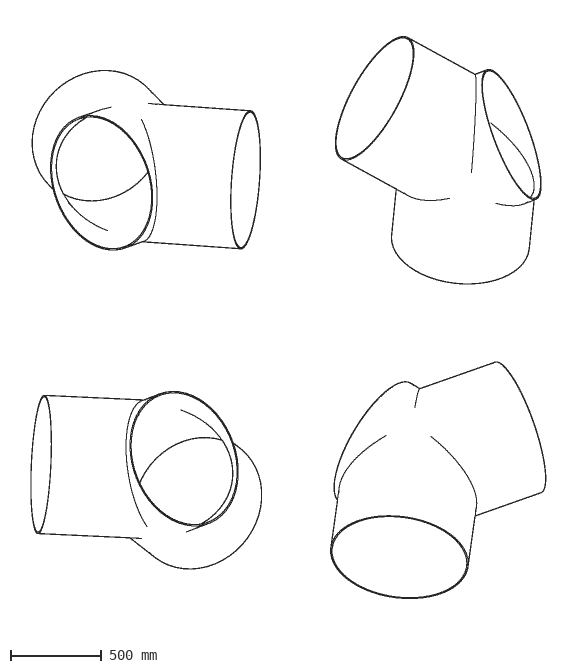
import cadquery as cq
import math

overall_width = 1481.0
outer_diameter = 763.0
inner_diameter = 746.0
inlet_length = 255.0
inlet_angle = -90
branch_angles = (30, 150)
mitre_angle = math.radians(60)

outer_radius = outer_diameter / 2
tilt = math.radians(branch_angles[0])
branch_length = (overall_width / 2 - outer_radius * math.sin(tilt)) / math.cos(tilt)


def leg(diameter, length, angle):
    """Cylinder from the origin, trimmed to its 120 degree sector so the legs meet in mitres."""
    direction = cq.Vector(math.cos(math.radians(angle)), math.sin(math.radians(angle)), 0)
    cylinder = cq.Solid.makeCylinder(diameter / 2, length, cq.Vector(0, 0, 0), direction)
    sector_reach = length + diameter
    sector_half_width = sector_reach * math.tan(mitre_angle)
    sector = (
        cq.Workplane("XY")
        .polyline([(0, 0), (sector_reach, -sector_half_width), (sector_reach, sector_half_width)])
        .close()
        .extrude(diameter, both=True)
        .rotate((0, 0, 0), (0, 0, 1), angle)
    )
    return cq.Workplane(cylinder).intersect(sector)


def wye(diameter):
    """Solid Y of the given diameter."""
    body = leg(diameter, inlet_length, inlet_angle)
    for angle in branch_angles:
        body = body.union(leg(diameter, branch_length, angle))
    return body


result = wye(outer_diameter).cut(wye(inner_diameter))